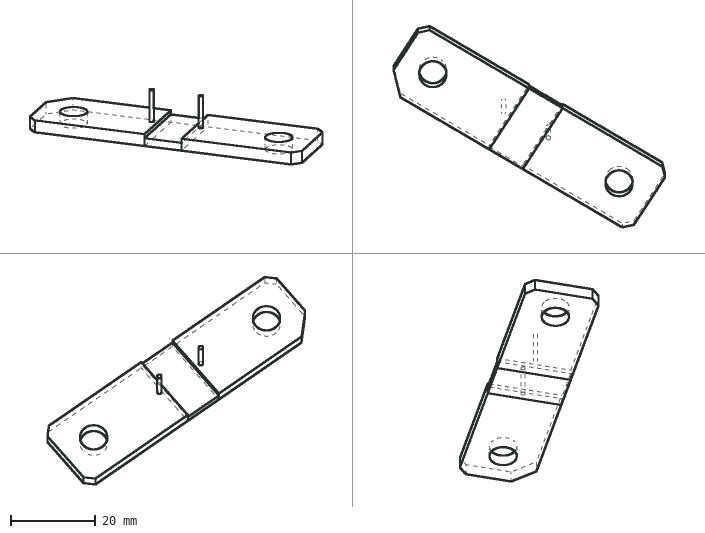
import cadquery as cq

length = 69.0
width = 18.0
total_height = 11.05

plate_thickness = 3.05
strip_length = 9.4
strip_thickness = 2.0
plate_length = (length - strip_length) / 2

corner_cut = 2.0
key_corner_cut = 5.0

hole_diameter = 6.5
hole_spacing = 52.0

pin_diameter = 1.05
pin_spacing = 12.5
pin_height = total_height - plate_thickness

SIDES = (-1, 1)


def make_plate(side, back_cut):
    """Terminal plate on one side (-1 left, 1 right), with cut outer corners and a mounting hole."""
    inner_x = side * strip_length / 2
    outer_x = side * length / 2
    half_width = width / 2
    blank = (
        cq.Workplane("XY")
        .moveTo(inner_x, -half_width)
        .lineTo(outer_x - side * corner_cut, -half_width)
        .lineTo(outer_x, -half_width + corner_cut)
        .lineTo(outer_x, half_width - back_cut)
        .lineTo(outer_x - side * back_cut, half_width)
        .lineTo(inner_x, half_width)
        .close()
        .extrude(plate_thickness)
    )
    hole = (
        cq.Workplane("XY")
        .center(side * hole_spacing / 2, 0)
        .circle(hole_diameter / 2)
        .extrude(plate_thickness)
    )
    return blank.cut(hole)


def make_strip():
    """Strip between the plates, flush with their underside."""
    return cq.Workplane("XY").box(strip_length, width, strip_thickness, centered=(True, True, False))


def make_pin(side):
    """Round sense pin standing on the top face of one plate."""
    return (
        cq.Workplane("XY", origin=(side * pin_spacing / 2, 0, plate_thickness))
        .circle(pin_diameter / 2)
        .extrude(pin_height)
    )


left_plate = make_plate(-1, key_corner_cut)
right_plate = make_plate(1, corner_cut)
strip = make_strip()
pins = [make_pin(side) for side in SIDES]

result = cq.Compound.makeCompound(
    [left_plate.val(), right_plate.val(), strip.val(), *[pin.val() for pin in pins]]
)